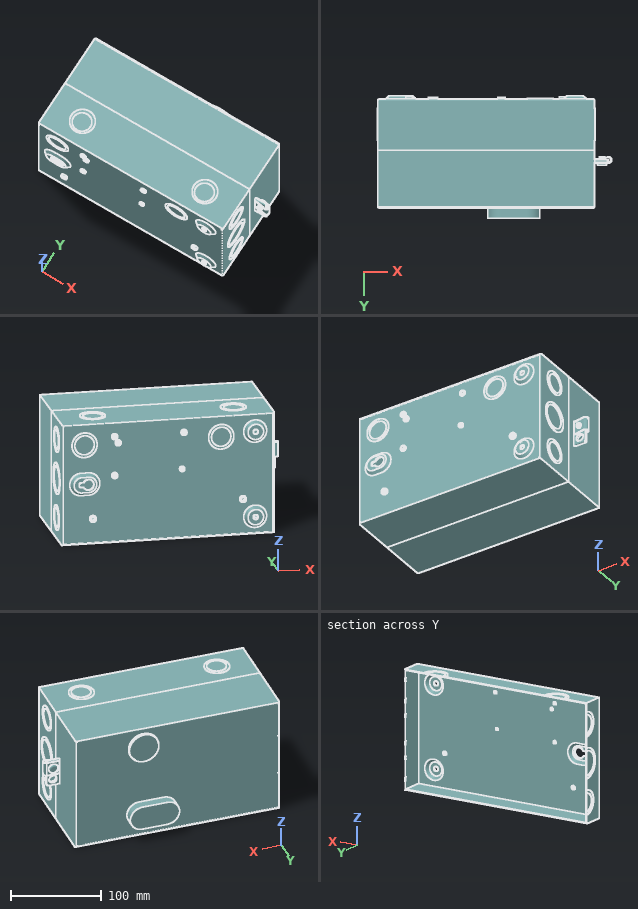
import cadquery as cq
import math

overall_length = 260.3
overall_height = 140.5

ring_height = 0.4
box_width = 241.0
box_depth = 121.3
box_height = overall_height - ring_height
base_depth = 57.0
wall = 1.5
bend_radius = 2.3
mid_z = box_height / 2

small_ring = 28.6
small_disc = 22.0
large_ring = 35.7
large_disc = 28.5
knockout_y = 28.5
knockout_rise = 45.3
front_knockout_x = [25.5, 180.6]
top_knockout_x = [40.5, 200.5]
side_disc_shift = 0.8
front_disc_shift = -1.0

foot_height = 3.6
foot_slope = 4.2
foot_diameter = 26.0
foot_x = 219.2
foot_rise = 49.5
foot_hole = 5.5
key_foot_x = 25.8
key_foot_length = 34.0
key_hole = 12.2
key_hole_x = 29.5
key_slot_width = 5.7
key_slot_end_x = 21.5
front_cut_depth = 10.5

collars = [
    (6.5, 3.6, 1.8, [(59.5, 123.5), (63.5, 116.0), (138.2, 123.5), (59.5, 78.4)]),
    (5.7, 3.0, 1.8, [(136.1, 81.2)]),
    (7.3, 4.7, 2.3, [(35.0, 29.7), (205.0, 42.0)]),
]

knob_length = 58.0
knob_width = 29.0
knob_height = 11.5
knob_x = 151.2
knob_z = 30.0
cap_diameter = 35.0
cap_height = 2.9
cap_x = 160.9
cap_z = 115.5

hasp_length = 15.4
hasp_thickness = 3.0
hasp_y = 67.5
hasp_back_y = hasp_y + hasp_thickness
hasp_bottom = 54.1
hasp_top = 86.5
hasp_corner = 1.3
hasp_edge = 0.8
hasp_hole = 9.0
hasp_hole_z = 62.0
clip_thickness = 0.8
clip_back_y = hasp_back_y + clip_thickness
clip_end_x = overall_length - ring_height
clip_bend_radius = 3.51
clip_bottom = 68.2
clip_top = 84.9
clip_gap = 0.8
clip_start_x = box_width + clip_gap
clip_flat = 2.3
rivet_x = 249.0
rivet_z = 76.5
rivet_diameter = 5.7
rivet_bore = 3.5
rivet_bore_depth = 2.5
rivet_head = 11.0
rivet_head_height = 2.5
rivet_head_round = 2.0
rivet_front_y = 64.3

FRONT = cq.Plane(origin=(0, 0, 0), xDir=(1, 0, 0), normal=(0, -1, 0))
TOP = cq.Plane(origin=(0, 0, box_height), xDir=(1, 0, 0), normal=(0, 0, 1))
LEFT = cq.Plane(origin=(0, 0, 0), xDir=(0, -1, 0), normal=(-1, 0, 0))
RIGHT = cq.Plane(origin=(box_width, 0, 0), xDir=(0, 1, 0), normal=(1, 0, 0))


def box_block(inset, y_start, y_end):
    """Block inset from the box sides, between two depths."""
    return cq.Workplane("XY").box(
        box_width - 2 * inset, y_end - y_start, box_height - 2 * inset, centered=False
    ).translate((inset, y_start, inset))


def knockout_ring(plane, centre, ring, disc, disc_shift):
    """Raised ring on a wall; its opening is shifted by disc_shift (local x, y)."""
    disc_centre = (centre[0] + disc_shift[0], centre[1] + disc_shift[1])
    outer = cq.Workplane(plane).center(*centre).circle(ring / 2).extrude(ring_height)
    inner = cq.Workplane(plane).center(*disc_centre).circle(disc / 2).extrude(ring_height)
    return outer.cut(inner)


def tapered_foot(length, width, x, z, y_root):
    """Foot with sloped sides that rises towards -Y from y_root."""
    taper = math.degrees(math.atan(foot_slope / foot_height))
    sketch = cq.Workplane(FRONT).workplane(offset=-y_root).center(x, z)
    if length > width:
        sketch = sketch.slot2D(length, width)
    else:
        sketch = sketch.circle(width / 2)
    return sketch.extrude(foot_height, taper=taper)


def front_hole(diameter, x, z):
    """Cutter through the front wall and whatever stands on it."""
    return (
        cq.Workplane(FRONT).workplane(offset=-2 * wall).center(x, z)
        .circle(diameter / 2).extrude(front_cut_depth)
    )


def keyhole():
    """Cutter for the keyhole: a round opening with a narrower slot towards -X."""
    slot = (
        cq.Workplane(FRONT).workplane(offset=-2 * wall)
        .center((key_slot_end_x + key_hole_x) / 2, mid_z)
        .slot2D(key_hole_x - key_slot_end_x + key_slot_width, key_slot_width)
        .extrude(front_cut_depth)
    )
    return front_hole(key_hole, key_hole_x, mid_z).union(slot)


def make_tray():
    """Open tray with a rounded front rim."""
    tray = box_block(0, 0, base_depth).faces("<Y").edges().fillet(bend_radius)
    return tray.cut(box_block(wall, wall, base_depth))


def add_feet(base):
    """Two round feet with screw holes and one long foot with a keyhole, all hollow behind."""
    round_feet_z = [mid_z - foot_rise, mid_z + foot_rise]
    feet = [(foot_diameter, foot_x, z) for z in round_feet_z]
    feet.append((key_foot_length, key_foot_x, mid_z))
    for length, x, z in feet:
        base = base.union(tapered_foot(length, foot_diameter, x, z, 0))
        base = base.cut(tapered_foot(length - wall, foot_diameter - wall, x, z, wall))
    for z in round_feet_z:
        base = base.cut(front_hole(foot_hole, foot_x, z))
    return base.cut(keyhole())


def add_collars(base):
    """Hollow screw collars standing on the front wall."""
    for diameter, hole, height, places in collars:
        for x, z in places:
            collar = cq.Workplane(FRONT).center(x, z).circle(diameter / 2).extrude(height)
            base = base.union(collar).cut(front_hole(hole, x, z))
    return base


def add_knockouts(base):
    """Knockout rings on the front, the top and both ends."""
    for x in front_knockout_x:
        centre = (x, mid_z + knockout_rise)
        base = base.union(knockout_ring(FRONT, centre, small_ring, small_disc, (0, 0)))
    for x in top_knockout_x:
        centre = (x, knockout_y)
        base = base.union(knockout_ring(TOP, centre, small_ring, small_disc, (0, front_disc_shift)))
    for plane, y_sign in ((LEFT, -1), (RIGHT, 1)):
        y = y_sign * knockout_y
        small_shift = (y_sign * side_disc_shift, 0)
        large_shift = (y_sign * front_disc_shift, 0)
        for rise in (-knockout_rise, knockout_rise):
            centre = (y, mid_z + rise)
            base = base.union(knockout_ring(plane, centre, small_ring, small_disc, small_shift))
        base = base.union(knockout_ring(plane, (y, mid_z), large_ring, large_disc, large_shift))
    return base


def make_base():
    """Front half of the enclosure."""
    return add_knockouts(add_collars(add_feet(make_tray())))


def make_cover():
    """Back half of the enclosure: plain open tray."""
    cover = box_block(0, base_depth, box_depth).faces(">Y").edges().fillet(bend_radius)
    return cover.cut(box_block(wall, base_depth, box_depth - wall))


def back_plane(x, z):
    """Plane on the back wall, with its normal towards +Y."""
    return cq.Plane(origin=(x, box_depth, z), xDir=(1, 0, 0), normal=(0, 1, 0))


def make_knob():
    """Oval knob on the back of the cover."""
    plane = back_plane(knob_x, knob_z)
    return cq.Workplane(plane).slot2D(knob_length, knob_width).extrude(knob_height)


def make_cap():
    """Flat round cap on the back of the cover."""
    return cq.Workplane(back_plane(cap_x, cap_z)).circle(cap_diameter / 2).extrude(cap_height)


def rivet_cylinder(diameter, y_start, y_end):
    """Cylinder on the rivet axis between two depths."""
    plane = cq.Plane(origin=(rivet_x, y_start, rivet_z), xDir=(1, 0, 0), normal=(0, 1, 0))
    return cq.Workplane(plane).circle(diameter / 2).extrude(y_end - y_start)


def make_hasp():
    """Flat padlock plate standing out of the cover side."""
    plate = cq.Workplane("XY").box(
        hasp_length, hasp_thickness, hasp_top - hasp_bottom, centered=False
    ).translate((box_width, hasp_y, hasp_bottom))
    plate = plate.edges("|Y and >X").chamfer(hasp_corner)
    plate = plate.edges("|X").fillet(hasp_edge)
    hole = (
        cq.Workplane(FRONT).workplane(offset=-hasp_back_y).center(rivet_x, hasp_hole_z)
        .circle(hasp_hole / 2).extrude(hasp_thickness)
    )
    return plate.cut(hole).cut(rivet_cylinder(rivet_diameter, hasp_y, hasp_back_y))


def make_clip():
    """Strip bent into a U around the hasp edge; the front leg slopes back to the plate."""
    t = clip_thickness
    bend_x = clip_end_x - clip_bend_radius
    bend_y = clip_back_y - clip_bend_radius
    front_y = bend_y - clip_bend_radius
    ramp_x = clip_start_x + clip_flat
    profile = (
        cq.Workplane("XY", origin=(0, 0, clip_bottom))
        .moveTo(clip_start_x, clip_back_y)
        .lineTo(bend_x, clip_back_y)
        .threePointArc((clip_end_x, bend_y), (bend_x, front_y))
        .lineTo(ramp_x, hasp_y - t)
        .lineTo(clip_start_x, hasp_y - t)
        .lineTo(clip_start_x, hasp_y)
        .lineTo(ramp_x, hasp_y)
        .lineTo(bend_x, front_y + t)
        .threePointArc((clip_end_x - t, bend_y), (bend_x, hasp_back_y))
        .lineTo(clip_start_x, hasp_back_y)
        .close()
    )
    strip = profile.extrude(clip_top - clip_bottom)
    return strip.cut(rivet_cylinder(rivet_diameter, rivet_front_y, clip_back_y))


def make_rivet():
    """Rivet with a domed head behind the clip and a hollow front end."""
    shank = rivet_cylinder(rivet_diameter, rivet_front_y, clip_back_y)
    head = rivet_cylinder(rivet_head, clip_back_y, clip_back_y + rivet_head_height)
    head = head.faces(">Y").edges().fillet(rivet_head_round)
    bore = rivet_cylinder(rivet_bore, rivet_front_y, rivet_front_y + rivet_bore_depth)
    return shank.union(head).cut(bore)


base = make_base()
cover = make_cover()
knob = make_knob()
cap = make_cap()
hasp = make_hasp()
clip = make_clip()
rivet = make_rivet()
result = cq.Compound.makeCompound(
    [base.val(), cover.val(), knob.val(), cap.val(), hasp.val(), clip.val(), rivet.val()]
)